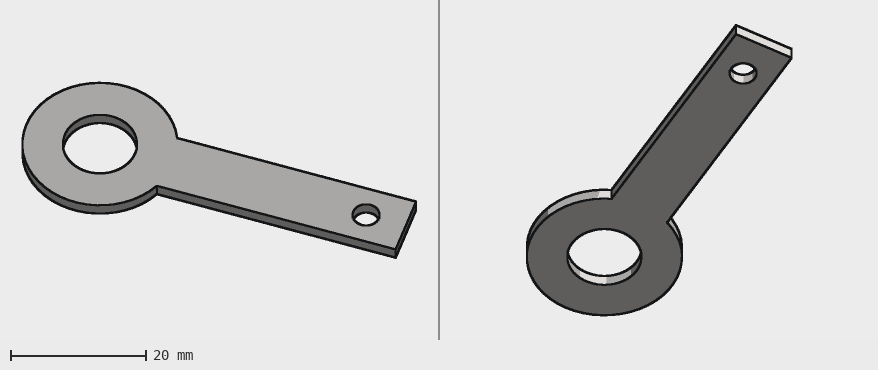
import cadquery as cq

total_length = 59.3
ring_diameter = 23.0
thickness = 2.0

bore_diameter = 11.0
strap_width = 9.5
pin_hole_diameter = 4.0
pin_hole_end_distance = 6.2

strap_end = total_length - ring_diameter / 2
pin_hole_x = strap_end - pin_hole_end_distance


def disc(diameter, x=0.0):
    """Full-thickness cylinder centred on the strap axis."""
    return cq.Workplane("XY").center(x, 0).circle(diameter / 2).extrude(thickness)


strap = cq.Workplane("XY").box(strap_end, strap_width, thickness, centered=(False, True, False))

body = disc(ring_diameter).union(strap)
result = body.cut(disc(bore_diameter)).cut(disc(pin_hole_diameter, pin_hole_x))